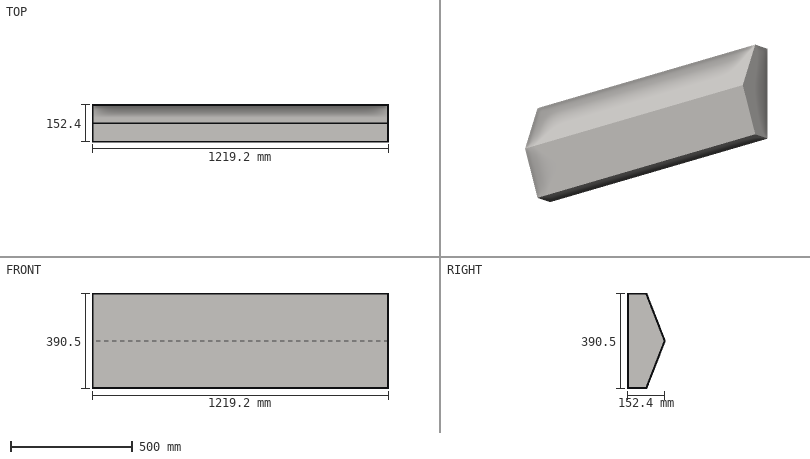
import cadquery as cq

length = 1219.2
height = 390.52
depth = 152.4
edge_depth = depth / 2


def make_ridged_panel():
    """Extrude the five-sided section: flat face at -Y, ridge at +Y."""
    front = -depth / 2
    shoulder = front + edge_depth
    ridge = front + depth
    section = [
        (front, -height / 2),
        (shoulder, -height / 2),
        (ridge, 0),
        (shoulder, height / 2),
        (front, height / 2),
    ]
    return cq.Workplane("YZ").polyline(section).close().extrude(length / 2, both=True)


result = make_ridged_panel()